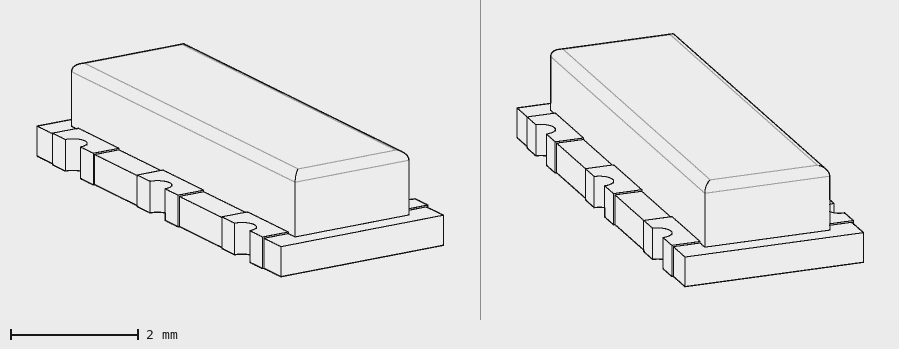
import cadquery as cq

board_length = 7.2
board_width = 3.0
board_height = 0.5

plating = 0.025
terminal_width = 1.2
terminal_pitch = 2.5
terminal_reach = 0.63
notch_radius = 0.22

cap_length = 6.6
cap_width = 2.1
overall_height = 1.55
cap_edge_radius = 0.15

overall_width = board_width + 2 * plating
terminal_height = board_height + plating


def block(length, width, bottom, top):
    """Box centred on the Z axis between two heights."""
    return (
        cq.Workplane("XY", origin=(0, 0, bottom))
        .box(length, width, top - bottom, centered=(True, True, False))
    )


def terminal(x, side):
    """Terminal block enclosing the board edge; side is -1 or 1."""
    center_y = side * (overall_width - terminal_reach) / 2
    return (
        cq.Workplane("XY")
        .box(terminal_width, terminal_reach, terminal_height, centered=(True, True, False))
        .translate((x, center_y, 0))
    )


def notch(x, side):
    """Round castellation through the full terminal height."""
    return (
        cq.Workplane("XY")
        .center(x, side * overall_width / 2)
        .circle(notch_radius)
        .extrude(terminal_height)
    )


board = block(board_length, board_width, 0, board_height)
cap = block(cap_length, cap_width, board_height, overall_height)
cap = cap.faces(">Z").edges().fillet(cap_edge_radius)

result = board.union(cap)
for column in (-1, 0, 1):
    for side in (-1, 1):
        x = column * terminal_pitch
        result = result.union(terminal(x, side)).cut(notch(x, side))